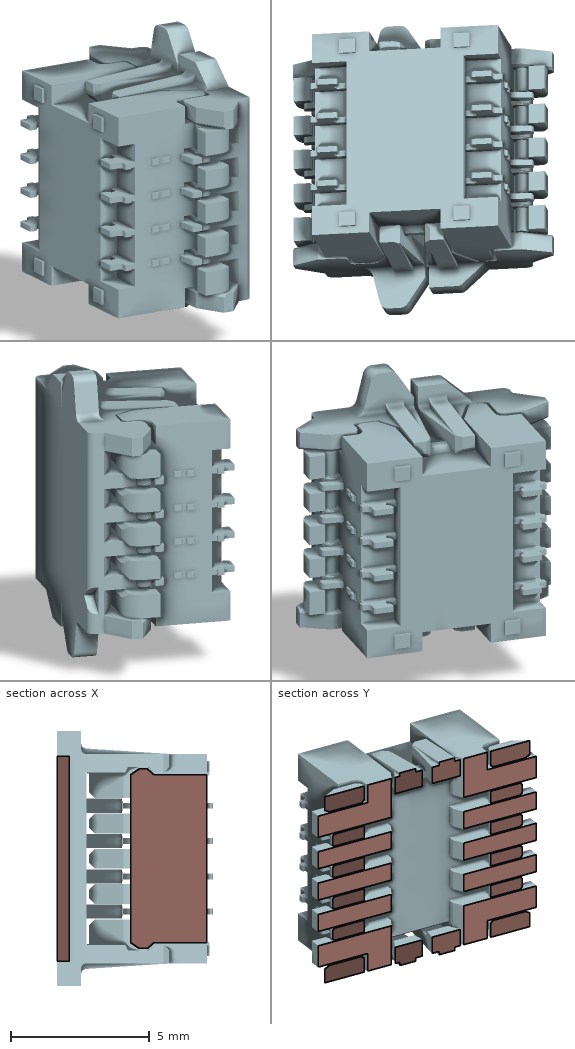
import cadquery as cq
import math

LEFT, RIGHT = -1, 1
ENDS = (-1, 1)

overlap = 0.10
half_length = 3.775
contact_pitch = 1.27
contact_count = 4
contact_levels = [(i - (contact_count - 1) / 2) * contact_pitch for i in range(contact_count)]

housing_half_width = 3.40
housing_bottom = 5.39
floor_depth = 2.64
recess_half_width = 1.305
wall_knee_depth = 2.38
shoulder_depth = 2.594
shoulder_radius = 0.35
post_outer = 2.525
post_inner_top = {LEFT: 1.74, RIGHT: 1.98}
post_top = {LEFT: 1.61, RIGHT: 1.07}
post_corner = 0.14
right_post_step = 0.07
right_post_step_start = 2.17

tooth_end = 3.065
tooth_gap_half = 0.28
tooth_outer = 4.59
tooth_top = 1.15
tooth_bottom = 2.435
tooth_round = 0.71
tooth_tip_chamfer = 0.20
left_tooth_inner = 2.00
tooth_hook_inner = 3.95
tooth_hook_bevel = 0.06
nose_center = 3.685
nose_radius = 0.235
nose_depth = 2.05

recess_floor = 3.03
ridge_height = 3.24
ridge_depths = (2.95, 3.25, 3.49)

pocket_half_length = 2.69
pocket_inner = 2.14
pocket_top = 4.70

pad_across, pad_along, pad_height = 0.59, 0.52, 0.10
pad_center_across, pad_center_along = 2.095, 3.25

contact_thickness = 0.21
contact_root = 3.10
tip_reach, tip_top, tip_bottom, tip_heel = 4.19, 2.36, 2.71, 2.80
tip_radius = 0.14
upper_barb_reach, upper_barb_top, upper_barb_bottom = 3.47, 3.25, 3.53
lower_barb_reach, lower_barb_top, lower_barb_bottom = 3.51, 3.73, 4.02
barb_root, barb_strip_bottom = 3.42, 4.15
barb_radius = 0.05
foot_barb_top, foot_barb_bottom = 4.87, 5.14
foot_bar_bottom = 4.97
foot_depth = 5.60
foot_outer, foot_inner = 3.20, 2.45
foot_neck_outer, foot_neck_inner = 3.26, 2.55
foot_outer_shoulder, foot_inner_shoulder, foot_neck_depth = 5.26, 5.35, 5.20
foot_radius = 0.08

slit_half = 0.075
cover_half_width = 3.77
cover_back_radius = 0.27
back_plate_depth = 1.055
plate_inner = 3.10
wing_reach = 4.73
wing_start, wing_flat_top, wing_flat_bottom = 0.56, 1.35, 1.76
cover_bottom = 2.325
wing_foot = 3.73
wing_bevel = 0.10
arm_inner = 2.65
arm_radius = 0.25
notch_top = {LEFT: 1.52, RIGHT: back_plate_depth}
notch_inner = {LEFT: 1.67, RIGHT: 1.85}
notch_radius = 0.15

leg_outer = 1.165
leg_tip_depth = 4.03
leg_tip_inner, leg_shoulder_inner, leg_shoulder_depth = 0.68, 0.46, 3.83
leg_slant_depth = 1.10
leg_inner_face = 3.30
leg_thinning = 2.45
hook_start, hook_catch, hook_lead_in = 3.30, 3.55, 3.86
strip_inner = 0.485
strip_rise = 0.205
ear_thickness = 0.86
tall_ear_top, tall_ear_radius = 5.30, 0.32
tall_ear_inner_shoulder = 4.21
tall_ear_top_inner, tall_ear_top_outer = 0.80, 1.66
tall_ear_flank, tall_ear_root = 2.04, 2.30
tall_ear_flank_radius = 0.33
short_ear_top, short_ear_radius = 4.59, 0.20
short_ear_top_outer, short_ear_root = 1.21, 2.12
ear_fillet = 0.17
strip_fillet = 0.20

rib_half = 0.255
bump_center = 3.70
bump_depth = 2.05
bump_radius = 0.30
bump_chamfer = 0.085
tooth_relief_reach = 0.88

web_depth = 0.43
web_half_length = 3.70
web_fillet = 0.08

key_top, key_vertex, key_bottom = -1.95, -2.49, -3.10
key_inner, key_depth = 3.10, 0.345


def outline(plane, corners):
    """Closed wire of straight lines; a corner given as (a, b, radius) is rounded."""
    count = len(corners)
    stretches = []
    for i, corner in enumerate(corners):
        here = corner[:2]
        if len(corner) == 2:
            stretches.append([here])
            continue
        radius = corner[2]
        before, after = corners[i - 1], corners[(i + 1) % count]
        angle_in = math.atan2(before[1] - here[1], before[0] - here[0])
        angle_out = math.atan2(after[1] - here[1], after[0] - here[0])
        half = (angle_out - angle_in) / 2
        if abs(half) > math.pi / 2:
            half -= math.copysign(math.pi, half)
        middle = angle_in + half
        setback = radius / math.tan(abs(half))
        reach = radius / math.sin(abs(half)) - radius
        stretches.append([
            (here[0] + length * math.cos(angle), here[1] + length * math.sin(angle))
            for length, angle in ((setback, angle_in), (reach, middle), (setback, angle_out))
        ])
    wire = cq.Workplane(plane).moveTo(*stretches[0][-1])
    for stretch in stretches[1:]:
        wire = wire.lineTo(*stretch[0])
        if len(stretch) > 1:
            wire = wire.threePointArc(*stretch[1:])
    if len(stretches[0]) > 1:
        wire = wire.lineTo(*stretches[0][0]).threePointArc(*stretches[0][1:])
    return wire.close()


def across_profile(side, corners, z_from, z_to):
    """Extrude an (across, depth) outline along Z on one side of the mid-plane."""
    placed = [(side * c[0], -c[1], *c[2:]) for c in corners]
    return outline("XY", placed).extrude(z_to - z_from).translate((0, 0, z_from))


def lengthwise_profile(side, end, corners, from_across, to_across):
    """Extrude a (depth, along) outline across the part, at one end of one side."""
    placed = [(-c[0], end * c[1], *c[2:]) for c in corners]
    low, high = sorted((side * from_across, side * to_across))
    return outline("YZ", placed).extrude(high - low).translate((low, 0, 0))


def block(side, across, depths, levels):
    corners = [(across[0], depths[0]), (across[1], depths[0]), (across[1], depths[1]), (across[0], depths[1])]
    return across_profile(side, corners, *levels)


def rod(side, across, depth, radius, levels):
    return (cq.Workplane("XY", origin=(side * across, -depth, levels[0]))
            .circle(radius).extrude(levels[1] - levels[0]))


def end_levels(end, inner, outer):
    return sorted((end * inner, end * outer))


def end_post(side, end):
    """Wall piece at a housing end, with the shoulder that receives the cover arm."""
    top = post_top[side]
    outer_top = top
    ridge = []
    if side == RIGHT:
        outer_top = top + right_post_step
        ridge = [(right_post_step_start + right_post_step, outer_top), (right_post_step_start, top)]
    corners = [
        (housing_half_width, floor_depth),
        (housing_half_width, shoulder_depth),
        (post_outer, shoulder_depth, shoulder_radius),
        (post_outer, outer_top + post_corner),
        (post_outer - post_corner, outer_top),
        *ridge,
        (post_inner_top[side], top),
        (recess_half_width, wall_knee_depth),
        (recess_half_width, floor_depth),
    ]
    return across_profile(side, corners, *end_levels(end, tooth_end, half_length))


def tooth_row(side):
    """Five hooked teeth between the end posts, parted by gaps at the contacts."""
    if side == LEFT:
        inner = [(left_tooth_inner, tooth_top), (left_tooth_inner, post_top[LEFT]),
                 (post_inner_top[LEFT], post_top[LEFT])]
    else:
        lean = (post_inner_top[RIGHT] - recess_half_width) / (wall_knee_depth - post_top[RIGHT])
        inner = [(recess_half_width + lean * (wall_knee_depth - tooth_top), tooth_top)]
    corners = [
        (housing_half_width, floor_depth),
        (housing_half_width, nose_depth),
        (nose_center - nose_radius, nose_depth),
        (tooth_hook_inner, nose_depth),
        (tooth_hook_inner, tooth_bottom - 2 * tooth_hook_bevel),
        (tooth_hook_inner + tooth_hook_bevel, tooth_bottom),
        (tooth_outer, tooth_bottom),
        (tooth_outer, tooth_top, tooth_round),
        *inner,
        (recess_half_width, wall_knee_depth),
        (recess_half_width, floor_depth),
    ]
    row = across_profile(side, corners, -tooth_end, tooth_end)
    row = row.union(rod(side, nose_center, nose_depth, nose_radius, (-tooth_end, tooth_end)))
    for level in contact_levels:
        low, high = level - tooth_gap_half, level + tooth_gap_half
        chamfer_depth = tooth_top + tooth_tip_chamfer
        gap = [
            (floor_depth, low), (chamfer_depth, low), (tooth_top, low - tooth_tip_chamfer),
            (tooth_top, high + tooth_tip_chamfer), (chamfer_depth, high), (floor_depth, high),
        ]
        row = row.cut(lengthwise_profile(side, 1, gap, 0, tooth_outer))
    return row


def latch_recess(end):
    """Recess for the cover legs, leaving a ridge for the hooks to catch behind."""
    ridge_start, ridge_stop, ridge_foot = ridge_depths
    corners = [
        (floor_depth, half_length), (floor_depth, recess_floor),
        (ridge_start, ridge_height), (ridge_stop, ridge_height),
        (ridge_foot, recess_floor), (housing_bottom, recess_floor),
        (housing_bottom, half_length),
    ]
    return lengthwise_profile(RIGHT, end, corners, -recess_half_width, recess_half_width)


def contact(side, level):
    """Visible stretches of one contact: wire tip, side barbs and solder foot."""
    levels = (level - contact_thickness / 2, level + contact_thickness / 2)
    tip = [
        (contact_root, tip_top), (tip_reach, tip_top), (tip_reach, tip_bottom, tip_radius),
        (housing_half_width, tip_heel), (contact_root, tip_heel),
    ]
    barbs = [
        (contact_root, upper_barb_top), (upper_barb_reach, upper_barb_top, barb_radius),
        (upper_barb_reach, upper_barb_bottom, 2 * barb_radius),
        (barb_root, upper_barb_bottom + barb_radius), (barb_root, lower_barb_top),
        (lower_barb_reach, lower_barb_top, barb_radius),
        (lower_barb_reach, lower_barb_bottom, barb_radius), (barb_root, lower_barb_bottom),
        (barb_root, barb_strip_bottom), (contact_root, barb_strip_bottom),
    ]
    foot = [
        (housing_half_width, pocket_top - overlap), (housing_half_width, foot_barb_top),
        (lower_barb_reach, foot_barb_top, barb_radius), (lower_barb_reach, foot_barb_bottom, barb_radius),
        (foot_neck_outer, foot_barb_bottom, foot_radius), (foot_outer, foot_outer_shoulder),
        (foot_outer, foot_depth, foot_radius), (foot_inner, foot_depth, foot_radius),
        (foot_inner, foot_inner_shoulder), (foot_neck_inner + foot_radius, foot_neck_depth),
        (foot_neck_inner, foot_bar_bottom, foot_radius), (pocket_inner - overlap, foot_bar_bottom),
        (pocket_inner - overlap, pocket_top - overlap),
    ]
    return [across_profile(side, piece, *levels) for piece in (tip, barbs, foot)]


def pad(side, end):
    across = (pad_center_across - pad_across / 2, pad_center_across + pad_across / 2)
    levels = end_levels(end, pad_center_along - pad_along / 2, pad_center_along + pad_along / 2)
    return block(side, across, (housing_bottom, housing_bottom + pad_height), levels)


def make_housing():
    body = block(RIGHT, (-housing_half_width, housing_half_width), (floor_depth, housing_bottom),
                 (-half_length, half_length))
    for end in ENDS:
        body = body.cut(latch_recess(end))
    for side in (LEFT, RIGHT):
        body = body.cut(block(side, (pocket_inner, housing_half_width), (pocket_top, housing_bottom),
                              (-pocket_half_length, pocket_half_length)))
        body = body.union(tooth_row(side))
        for end in ENDS:
            body = body.union(end_post(side, end)).union(pad(side, end))
        for level in contact_levels:
            for piece in contact(side, level):
                body = body.union(piece)
    return body


def end_plate(side, end):
    """End plate with its wing; the wing's underside is bevelled toward the teeth."""
    corners = [
        (slit_half, 0),
        (cover_half_width, 0, cover_back_radius),
        (cover_half_width, wing_start),
        (wing_reach, wing_flat_top),
        (wing_reach, wing_flat_bottom),
        (wing_foot, cover_bottom),
        (arm_inner, cover_bottom, arm_radius),
        (arm_inner, notch_top[side], notch_radius),
        (notch_inner[side], notch_top[side]),
        (leg_outer, wall_knee_depth),
        (leg_outer, leg_slant_depth),
        (slit_half, leg_slant_depth),
    ]
    margin = wing_bevel / 10
    plate = across_profile(side, corners, *end_levels(end, plate_inner, half_length))
    underside = cq.selectors.BoxSelector(
        (side * arm_inner, -cover_bottom - margin, end * (plate_inner - margin)),
        (side * wing_reach, -wing_flat_bottom - margin, end * (plate_inner + margin)))
    return plate.edges(underside).chamfer(wing_bevel)


def latch_leg(side, end):
    """Tapering leg with a hook at its tip, and the raised strip on its outer face."""
    corners = [
        (slit_half, back_plate_depth), (slit_half, leg_slant_depth),
        (leg_shoulder_inner, leg_shoulder_depth), (leg_tip_inner, leg_tip_depth),
        (leg_outer, leg_tip_depth), (leg_outer, back_plate_depth),
    ]
    leg = across_profile(side, corners, *end_levels(end, plate_inner, half_length))
    hook = [
        (back_plate_depth, half_length), (back_plate_depth, plate_inner), (leg_thinning, plate_inner),
        (leg_thinning + overlap, leg_inner_face), (hook_start, leg_inner_face),
        (hook_catch, plate_inner), (hook_lead_in, plate_inner),
        (leg_tip_depth, leg_inner_face), (leg_tip_depth, half_length),
    ]
    leg = leg.intersect(lengthwise_profile(side, end, hook, 0, leg_outer))
    strip_top = half_length + strip_rise
    strip_root = strip_top + 2 * strip_fillet
    strip = [
        (ear_thickness - overlap, half_length - overlap), (ear_thickness - overlap, strip_root),
        (ear_thickness, strip_root), (ear_thickness, strip_top, strip_fillet),
        (leg_tip_depth, half_length), (leg_tip_depth, half_length - overlap),
    ]
    strip_outline = [
        (strip_inner, 0), (strip_inner, leg_shoulder_depth), (leg_tip_inner, leg_tip_depth),
        (leg_outer, leg_tip_depth), (leg_outer, 0),
    ]
    strip_levels = end_levels(end, plate_inner, strip_root)
    strip_body = across_profile(side, strip_outline, *strip_levels)
    return leg.union(strip_body.intersect(lengthwise_profile(side, end, strip, strip_inner, leg_outer)))


def ear(side, end):
    """Finger tab standing off the end plate: tall on the left half, short on the right."""
    root = half_length - overlap
    if side == LEFT:
        corners = [
            (slit_half, root), (slit_half, tall_ear_inner_shoulder),
            (tall_ear_top_inner, tall_ear_top, tall_ear_radius),
            (tall_ear_top_outer, tall_ear_top, tall_ear_radius),
            (tall_ear_flank, half_length, tall_ear_flank_radius),
            (tall_ear_root, half_length), (tall_ear_root, root),
        ]
    else:
        corners = [
            (slit_half, root), (slit_half, short_ear_top),
            (short_ear_top_outer, short_ear_top, short_ear_radius),
            (short_ear_root, half_length), (short_ear_root, root),
        ]
    placed = [(side * c[0], end * c[1], *c[2:]) for c in corners]
    tab = outline("XZ", placed).extrude(ear_thickness)
    fillet_limit = (ear_thickness + ear_fillet + back_plate_depth) / 2
    fillet_top = half_length + 2 * ear_fillet
    fillet_side = [
        (0, root), (0, fillet_top), (ear_thickness, fillet_top),
        (ear_thickness, half_length, ear_fillet), (fillet_limit, half_length), (fillet_limit, root),
    ]
    fillet = outline("XZ", placed).extrude(fillet_limit)
    return tab.union(fillet.intersect(lengthwise_profile(side, end, fillet_side, 0, wing_reach)))


def cover_rib(side, level):
    """Rib that enters the gap between two teeth, with a round, chamfered bump at its outer end."""
    corners = [
        (cover_half_width, wing_start), (cover_half_width, cover_bottom),
        (arm_inner, cover_bottom, arm_radius), (arm_inner, wing_start),
    ]
    levels = (level - rib_half, level + rib_half)
    bump = rod(side, bump_center, bump_depth, bump_radius, levels).faces("|Z").chamfer(bump_chamfer)
    return across_profile(side, corners, *levels).union(bump)


def make_cover(side):
    back = [(slit_half, 0), (cover_half_width, 0, cover_back_radius),
            (cover_half_width, back_plate_depth), (slit_half, back_plate_depth)]
    cover = across_profile(side, back, -half_length, half_length)
    relief = [(cover_half_width, wing_start), (cover_half_width, back_plate_depth),
              (cover_half_width - tooth_relief_reach, back_plate_depth)]
    cover = cover.cut(across_profile(side, relief, -plate_inner, plate_inner))
    for level in contact_levels:
        cover = cover.union(cover_rib(side, level))
    for end in ENDS:
        cover = cover.union(end_plate(side, end)).union(latch_leg(side, end)).union(ear(side, end))
    return cover


def web():
    """Web on the left cover half that closes the slit at the back."""
    corners = [
        (-slit_half, 0), (slit_half + web_fillet, 0), (slit_half + web_fillet, web_depth + web_fillet),
        (slit_half, web_depth + web_fillet), (slit_half - web_fillet, web_depth), (-slit_half, web_depth),
    ]
    return across_profile(LEFT, corners, -web_half_length, web_half_length)


def key_notch():
    """V-shaped orientation notch across the back outer corner."""
    mouth = cover_half_width + overlap
    corners = [(mouth, key_top), (key_inner, key_vertex), (mouth, key_bottom)]
    return outline("XZ", [(LEFT * u, z) for u, z in corners]).extrude(key_depth)


housing = make_housing()
left_cover = make_cover(LEFT).union(web()).cut(key_notch())
right_cover = make_cover(RIGHT)

bodies = [body.solids().val() for body in (housing, left_cover, right_cover)]
result = cq.Compound.makeCompound(bodies)